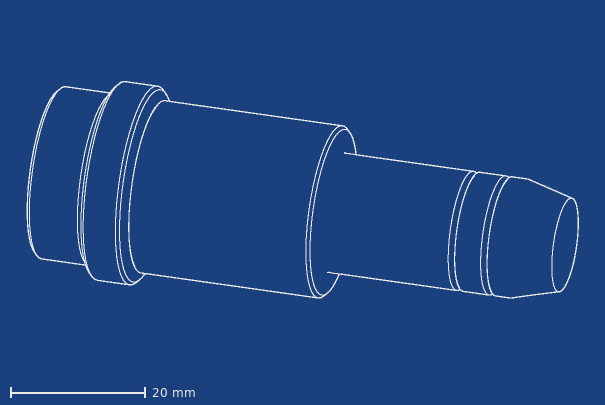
import cadquery as cq
import math

total_length = 80.0
flange_start = 9.0
flange_end = 15.0
shoulder_x = 44.0
nose_length = 7.2
shaft_groove_centers = (65.0, 70.0)

body_diameter = 26.0
flange_diameter = 30.0
shaft_diameter = 18.0
nose_half_angle = 15.0
edge_chamfer = 0.5
root_fillet = 0.5
groove_radius = 0.5


body_radius = body_diameter / 2
flange_radius = flange_diameter / 2
shaft_radius = shaft_diameter / 2
nose_start = total_length - nose_length
nose_radius = shaft_radius - nose_length * math.tan(math.radians(nose_half_angle))


def add_groove(profile, radius, start):
    """Continue the profile at this radius with a half-round groove that begins at start."""
    return (
        profile.lineTo(start, radius)
        .threePointArc(
            (start + groove_radius, radius - groove_radius),
            (start + 2 * groove_radius, radius),
        )
    )


def add_chamfered_end(profile, radius, end):
    """Continue the profile to a chamfered outer edge at its +X end."""
    return profile.lineTo(end - edge_chamfer, radius).lineTo(end, radius - edge_chamfer)


profile = (
    cq.Workplane("XY")
    .moveTo(0, 0)
    .lineTo(0, body_radius - edge_chamfer)
    .lineTo(edge_chamfer, body_radius)
)

profile = add_groove(profile, body_radius, flange_start - 2 * groove_radius)
profile = (
    profile.lineTo(flange_start, flange_radius - edge_chamfer)
    .lineTo(flange_start + edge_chamfer, flange_radius)
)
profile = add_chamfered_end(profile, flange_radius, flange_end)
profile = add_groove(profile, body_radius, flange_end)

profile = add_chamfered_end(profile, body_radius, shoulder_x)
fillet_inset = root_fillet * (1 - math.sqrt(0.5))
profile = (
    profile.lineTo(shoulder_x, shaft_radius + root_fillet)
    .threePointArc(
        (shoulder_x + fillet_inset, shaft_radius + fillet_inset),
        (shoulder_x + root_fillet, shaft_radius),
    )
)

for center in shaft_groove_centers:
    profile = add_groove(profile, shaft_radius, center - groove_radius)
profile = (
    profile.lineTo(nose_start, shaft_radius)
    .lineTo(total_length, nose_radius)
    .lineTo(total_length, 0)
    .close()
)

result = profile.revolve(360, (0, 0, 0), (1, 0, 0))